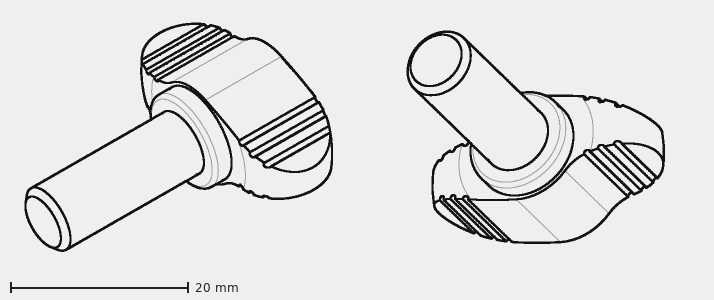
import cadquery as cq
import math

overall_length = 35.0
shaft_diameter = 8.0
shaft_chamfer = 0.77
collar_diameter = 12.0
collar_height = 2.4
collar_fillet = 0.5
wing_width = 11.0
wing_span = 28.0
dome_height = 1.6
dome_top_radius = 3.32
dome_sphere_radius = 8.9
shaft_length = overall_length - collar_height - wing_width - dome_height

hub_radius = 6.492
crown_start_x = -4.918
crown_end_x = 1.22
blend_end = (-7.65, 2.642)
section_reach = wing_span / 2 + 0.35
thin_edge_z = 1.382
thick_edge_z = 1.9

groove_radius = 0.368
groove_centers = [
    (-11.2, 2.0), (-9.4, 2.35), (-7.7, 2.62),
    (7.7, 4.65), (9.4, 4.0), (11.2, 3.3),
]

wing_front = collar_height
wing_back = wing_front + wing_width


def hub_point(x):
    return (x, math.sqrt(hub_radius**2 - x**2))


def half_turn(point):
    return (-point[0], -point[1])


def section_plane(y):
    """XZ plane at the given y; positive extrusions run toward -Y."""
    return cq.Plane(origin=(0, y, 0), xDir=(1, 0, 0), normal=(0, -1, 0))


def add_flank(outline, place):
    """Draw one side of the wing section; place positions each point."""
    return (
        outline.lineTo(*place(blend_end))
        .tangentArcPoint(place(hub_point(crown_start_x)), relative=False)
        .threePointArc(place((0, hub_radius)), place(hub_point(crown_end_x)))
        .tangentArcPoint(place((section_reach, thick_edge_z)), relative=False)
    )


def wing_section():
    start = (-section_reach, thin_edge_z)
    outline = cq.Workplane(section_plane(wing_front)).moveTo(*start)
    outline = add_flank(outline, lambda point: point)
    outline = outline.lineTo(*half_turn(start))
    outline = add_flank(outline, half_turn)
    return outline.close().extrude(-wing_width)


def rounded_disc():
    """Disc about Y with a full-round rim that shapes the wing tips."""
    rim_center = (wing_span - wing_width) / 2
    return (
        cq.Workplane("XY")
        .moveTo(0, wing_front)
        .lineTo(rim_center, wing_front)
        .threePointArc((wing_span / 2, wing_front + wing_width / 2), (rim_center, wing_back))
        .lineTo(0, wing_back)
        .close()
        .revolve(360, (0, 0, 0), (0, 1, 0))
    )


def grip_grooves():
    centers = groove_centers + [half_turn(center) for center in groove_centers]
    return (
        cq.Workplane(section_plane(wing_front))
        .pushPoints(centers)
        .circle(groove_radius)
        .extrude(-wing_width)
    )


def dome():
    """Spherical cap with a flat top."""
    top = wing_back + dome_height
    sphere_y = top - math.sqrt(dome_sphere_radius**2 - dome_top_radius**2)

    def sphere_radius_at(y):
        return math.sqrt(dome_sphere_radius**2 - (y - sphere_y) ** 2)

    middle = wing_back + dome_height / 2
    return (
        cq.Workplane("XY")
        .moveTo(0, wing_back)
        .lineTo(sphere_radius_at(wing_back), wing_back)
        .threePointArc((sphere_radius_at(middle), middle), (dome_top_radius, top))
        .lineTo(0, top)
        .close()
        .revolve(360, (0, 0, 0), (0, 1, 0))
    )


def collar():
    return (
        cq.Workplane(section_plane(0))
        .circle(collar_diameter / 2)
        .extrude(-collar_height)
        .faces("<Y").edges()
        .fillet(collar_fillet)
    )


def shaft():
    return (
        cq.Workplane(section_plane(0))
        .circle(shaft_diameter / 2)
        .extrude(shaft_length)
        .faces("<Y").edges()
        .chamfer(shaft_chamfer)
    )


wing = wing_section().intersect(rounded_disc()).cut(grip_grooves())
result = wing.union(dome()).union(collar()).union(shaft())